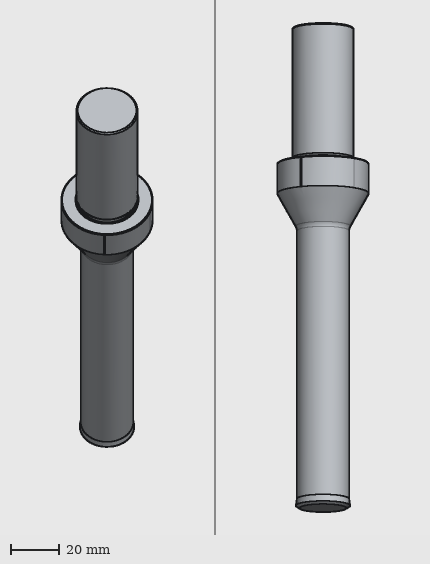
import cadquery as cq
import math

total_length = 203.2
flange_top = 145.9
flange_bottom = 133.0
shank_bottom = 148.1
head_height = 3.9

shank_radius = 12.8
flange_radius = 19.0
stem_radius = 11.0
head_radius = 11.4

shank_chamfer = 0.6
flange_chamfer = 0.5
head_rim_height = 1.0
head_end_radius = 9.8

cone_half_angle = 29.0
shoulder_fillet = 4.0

undercut_radius = 12.0
undercut_outer_radius = 13.2
undercut_depth = 0.5

mark_width = 0.6
mark_depth = 0.5
mark_x = 6.0


def make_holder():
    """Shank, flange and stem turned as one piece, standing on the head."""
    cone_height = (flange_radius - stem_radius) / math.tan(math.radians(cone_half_angle))
    cone_bottom = flange_bottom - cone_height

    half_turn = math.radians(cone_half_angle) / 2
    tangent_length = shoulder_fillet * math.tan(half_turn)
    fillet_start = cone_bottom - tangent_length
    fillet_middle = (
        stem_radius + shoulder_fillet * (1 - math.cos(half_turn)),
        fillet_start + shoulder_fillet * math.sin(half_turn),
    )
    fillet_end = (
        stem_radius + tangent_length * math.sin(2 * half_turn),
        cone_bottom + tangent_length * math.cos(2 * half_turn),
    )

    undercut_bottom = flange_top - undercut_depth
    undercut_slope = shank_radius - undercut_radius
    return (
        cq.Workplane("XZ")
        .moveTo(0, head_height)
        .lineTo(stem_radius, head_height)
        .lineTo(stem_radius, fillet_start)
        .threePointArc(fillet_middle, fillet_end)
        .lineTo(flange_radius, flange_bottom)
        .lineTo(flange_radius, flange_top - flange_chamfer)
        .lineTo(flange_radius - flange_chamfer, flange_top)
        .lineTo(undercut_outer_radius, flange_top)
        .lineTo(shank_radius, undercut_bottom)
        .lineTo(undercut_radius, undercut_bottom)
        .lineTo(undercut_radius, shank_bottom - undercut_slope)
        .lineTo(shank_radius, shank_bottom)
        .lineTo(shank_radius, total_length - shank_chamfer)
        .lineTo(shank_radius - shank_chamfer, total_length)
        .lineTo(0, total_length)
        .close()
        .revolve(360, (0, 0, 0), (0, 1, 0))
    )


def make_mark_cutter():
    """Axial slot, turned about the part axis to its place on the flange rim."""
    mark_angle = math.degrees(math.asin(mark_x / flange_radius))
    return (
        cq.Workplane("XY", origin=(0, 0, flange_bottom))
        .center(0, -flange_radius)
        .rect(mark_width, 2 * mark_depth)
        .extrude(flange_top - flange_bottom)
        .rotate((0, 0, 0), (0, 0, 1), mark_angle)
    )


def make_cutting_head():
    """Short head flaring from the stem to a rim, with a bevelled end."""
    return (
        cq.Workplane("XZ")
        .lineTo(head_end_radius, 0)
        .lineTo(head_radius, head_rim_height)
        .lineTo(stem_radius, head_height)
        .lineTo(0, head_height)
        .close()
        .revolve(360, (0, 0, 0), (0, 1, 0))
    )


holder = make_holder().cut(make_mark_cutter())
cutting_head = make_cutting_head()

result = cq.Compound.makeCompound([holder.val(), cutting_head.val()])